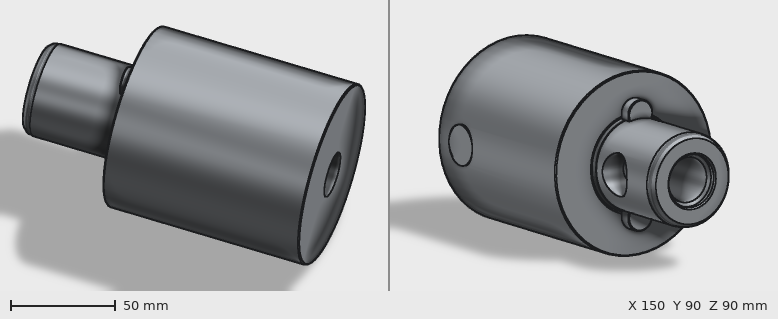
import cadquery as cq
import math

TOTAL_LENGTH = 150.0
HEAD_DIAMETER = 90.0
HEAD_CHAMFER = 0.6
SHANK_LENGTH = 50.0
SHANK_DIAMETER = 46.0
BORE_DIAMETER = 22.0

NOSE_DIAMETER = 41.7
PILOT_DIAMETER = 45.3
PILOT_START = 2.1
PILOT_END = 3.5
PILOT_TAPER_END = 4.5
PILOT_CORNER_RADIUS = 0.9

UNDERCUT_DIAMETER = 45.5
UNDERCUT_START = 47.5
UNDERCUT_TAPER_LENGTH = 0.9
UNDERCUT_RADIUS = 1.0
UNDERCUT_FACE_DEPTH = 0.3
UNDERCUT_RIM_DIAMETER = 49.4

MOUTH_DIAMETER = 27.5
MOUTH_CHAMFER_DEPTH = 0.8
COUNTERBORE_DIAMETER = 25.8
COUNTERBORE_DEPTH = 3.0
CONE_DEPTH = 1.0

CROSS_HOLE_DIAMETER = 21.0
CROSS_HOLE_X = 32.0

PIN_DIAMETER = 14.0
PIN_CENTRE_RADIUS = 25.0
PIN_PROJECTION = 6.0
PIN_DEPTH_IN_HEAD = 6.0
PIN_EDGE_CHAMFER = 0.5

PLUG_DIAMETER = 20.0
PLUG_LENGTH = 18.0
PLUG_X = 131.0

HEAD_RADIUS = HEAD_DIAMETER / 2
SHANK_RADIUS = SHANK_DIAMETER / 2
BORE_RADIUS = BORE_DIAMETER / 2


def cylinder_along_y(diameter, x, y_start, length):
    plane = cq.Plane(origin=(x, y_start, 0), xDir=(1, 0, 0), normal=(0, 1, 0))
    return cq.Workplane(plane).circle(diameter / 2).extrude(length)


def make_pin(side):
    """One driving pin at +Z or -Z (side 1 or -1), relieved to fit against the shank."""
    shank_envelope = cq.Workplane("YZ").circle(SHANK_RADIUS).extrude(TOTAL_LENGTH)
    return (
        cq.Workplane("YZ", origin=(SHANK_LENGTH - PIN_PROJECTION, 0, side * PIN_CENTRE_RADIUS))
        .circle(PIN_DIAMETER / 2)
        .extrude(PIN_PROJECTION + PIN_DEPTH_IN_HEAD)
        .faces("<X")
        .chamfer(PIN_EDGE_CHAMFER)
        .cut(shank_envelope)
    )


def make_plug():
    """Round plug whose flat outer face touches the head's outer diameter."""
    return cylinder_along_y(PLUG_DIAMETER, PLUG_X, HEAD_RADIUS - PLUG_LENGTH, PLUG_LENGTH)


def ring_edges(blank, x, radius):
    """Circular edges of the blank that lie at the given X and radius."""
    margin = 0.02
    selector = cq.selectors.BoxSelector(
        (x - margin, -radius - margin, -radius - margin),
        (x + margin, radius + margin, radius + margin),
        boundingbox=True,
    )
    return blank.edges(selector)


def make_turned_blank():
    """Shank, head and stepped bore, revolved about X."""
    pilot_radius = PILOT_DIAMETER / 2
    undercut_radius = UNDERCUT_DIAMETER / 2
    undercut_floor = SHANK_LENGTH + UNDERCUT_FACE_DEPTH
    counterbore_radius = COUNTERBORE_DIAMETER / 2
    arc_mid_offset = UNDERCUT_RADIUS * (1 - math.sqrt(0.5))
    profile = (
        cq.Workplane("XZ")
        .moveTo(0, MOUTH_DIAMETER / 2)
        .lineTo(0, NOSE_DIAMETER / 2)
        .lineTo(PILOT_START, pilot_radius)
        .lineTo(PILOT_END, pilot_radius)
        .lineTo(PILOT_TAPER_END, SHANK_RADIUS)
        .lineTo(UNDERCUT_START, SHANK_RADIUS)
        .lineTo(UNDERCUT_START + UNDERCUT_TAPER_LENGTH, undercut_radius)
        .lineTo(undercut_floor - UNDERCUT_RADIUS, undercut_radius)
        .threePointArc(
            (undercut_floor - arc_mid_offset, undercut_radius + arc_mid_offset),
            (undercut_floor, undercut_radius + UNDERCUT_RADIUS),
        )
        .lineTo(SHANK_LENGTH, UNDERCUT_RIM_DIAMETER / 2)
        .lineTo(SHANK_LENGTH, HEAD_RADIUS - HEAD_CHAMFER)
        .lineTo(SHANK_LENGTH + HEAD_CHAMFER, HEAD_RADIUS)
        .lineTo(TOTAL_LENGTH - HEAD_CHAMFER, HEAD_RADIUS)
        .lineTo(TOTAL_LENGTH, HEAD_RADIUS - HEAD_CHAMFER)
        .lineTo(TOTAL_LENGTH, BORE_RADIUS)
        .lineTo(COUNTERBORE_DEPTH + CONE_DEPTH, BORE_RADIUS)
        .lineTo(COUNTERBORE_DEPTH, counterbore_radius)
        .lineTo(MOUTH_CHAMFER_DEPTH, counterbore_radius)
        .close()
    )
    blank = profile.revolve(360, (0, 0, 0), (1, 0, 0))
    for corner_x in (PILOT_START, PILOT_END):
        blank = ring_edges(blank, corner_x, pilot_radius).fillet(PILOT_CORNER_RADIUS)
    return blank


def make_holder(seated_bodies):
    """Turned blank with its cross hole and the seats of the pins and the plug."""
    cross_hole = cylinder_along_y(CROSS_HOLE_DIAMETER, CROSS_HOLE_X, 0, SHANK_DIAMETER)
    holder = make_turned_blank().cut(cross_hole)
    for body in seated_bodies:
        holder = holder.cut(body)
    return holder


driving_pins = [make_pin(side) for side in (1, -1)]
flush_plug = make_plug()
holder = make_holder([*driving_pins, flush_plug])

result = cq.Compound.makeCompound(
    [holder.val(), *[pin.val() for pin in driving_pins], flush_plug.val()]
)